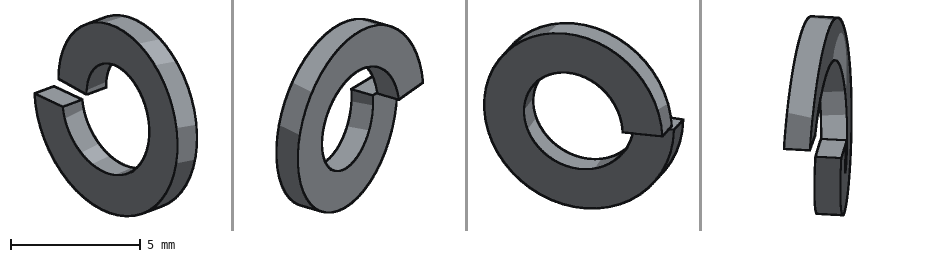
import cadquery as cq

outer_radius = 3.81
inner_radius = 2.16
thickness = 1.01
overall_height = 2.24
gap_angle = 3.7

bar_width = outer_radius - inner_radius
mean_radius = (outer_radius + inner_radius) / 2
rise = overall_height - thickness
turn_fraction = (360 - gap_angle) / 360
pitch = rise / turn_fraction

helix = cq.Wire.makeHelix(pitch, rise, mean_radius, lefthand=True)
coil = (
    cq.Workplane("XZ")
    .center(mean_radius, 0)
    .rect(bar_width, thickness)
    .sweep(cq.Workplane(obj=helix), isFrenet=True)
)

result = (
    coil.translate((0, 0, -rise / 2))
    .rotate((0, 0, 0), (0, 0, 1), 180)
    .rotate((0, 0, 0), (1, 0, 0), -90)
)